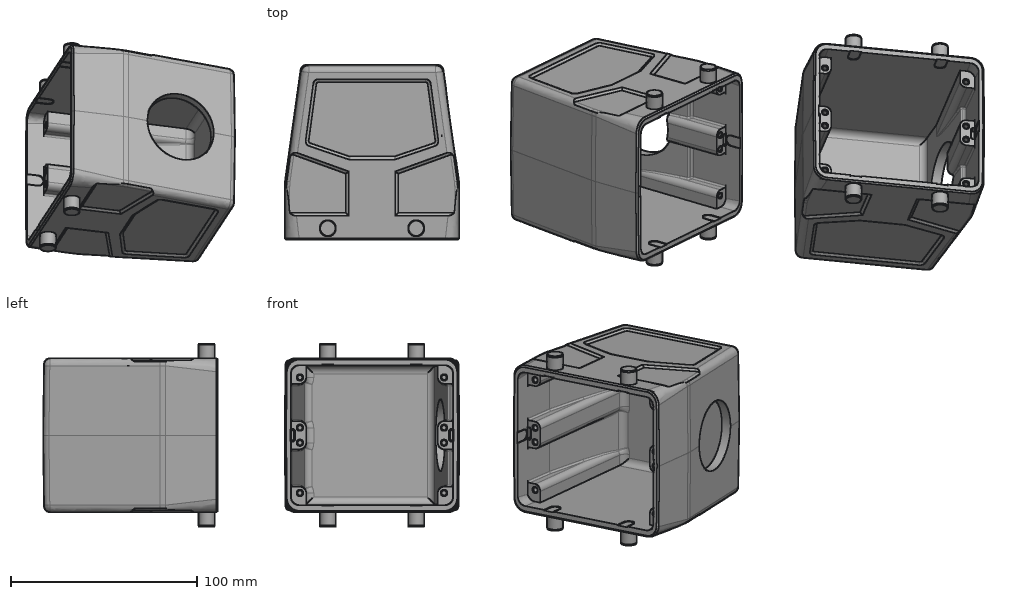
import cadquery as cq
import math

SIZE = 94.0
HEIGHT = 82.8
PIN_SPAN = 98.5
Y_FRONT = -SIZE / 2
Y_BACK = SIZE / 2
HALF_X = SIZE / 2
HALF_Z = HEIGHT / 2

BACK_HALF_X = 38.0
BEND_Y = -17.1
BEND_WIDTH = 2.9
DRAFT = 0.5
EDGE_RADIUS = 4.0
BACK_RADIUS = 3.5
RIM_CORNER_RADIUS = 7.4
RIM_CHAMFER = 0.9

CAVITY_HALF_X = 43.6
CAVITY_HALF_Z = 37.6
CAVITY_BEND_X = 43.1
CAVITY_BACK_HALF_X = 35.9
CAVITY_BACK_HALF_Z = 37.0
CAVITY_BACK_Y = 43.0
CAVITY_CORNER_RADIUS = 4.6
FLOOR_RADIUS = 3.9

PAD_Y = -14.8
PAD_FRONT_X = 40.5
PAD_BACK_X = 33.1
PAD_EDGE = 1.1
ENTRY_DIAMETER = 38.5
ENTRY_Y = 14.6

PIN_X = 23.7
PIN_Y = -40.9
PIN_DIAMETER = 8.8
PIN_TIP_DIAMETER = 8.2
PIN_TIP_HEIGHT = 0.8

BOSS_FRONT_Y = -37.7
BOSS_X = 35.4
CORNER_BOSS_Z = 27.6
MIDDLE_BOSS_HALF_Z = 7.6
BOSS_RADIUS = 3.4
BOSS_ROOT_RADIUS = 1.0
SCREW_X = 38.7
SCREW_ZS = (-31.0, -4.0, 4.0, 31.0)
SCREW_DIAMETER = 2.7
SCREW_MOUTH_DIAMETER = 3.5
SCREW_DEPTH = 14.8
NOTCH_WIDTH = 6.9
NOTCH_X = 41.3
NOTCH_DEPTH = 3.0
NOTCH_CHAMFER = 1.0
NOTCH_TAPER = 15.0

SLOT_WIDTH = 6.0
SLOT_DEPTH = 0.4

PANEL_DEPTH = 1.1
PANEL_WALL = 1.7
PANEL_INNER_X = 12.4
LABEL_BACK_Y = 39.3
LABEL_BACK_X = 31.2
LABEL_SIDE_X = 36.0
LABEL_SIDE_Y = 4.0
LABEL_FRONT_Y = -3.9
LABEL_RADIUS = 3.0
GRIP_BACK_Y = -10.3
GRIP_FRONT_Y = -34.2
GRIP_SLOPE = 0.36
GRIP_DEPTH = 2.1
GRIP_EDGE_RADIUS = 1.9
GRIP_SIDE_INSET = 0.3


def section(y, half_x, half_z, draft, radius):
    """Rounded cross-section at y, widest at mid height."""
    points = [
        (half_x, 0),
        (half_x - draft, half_z),
        (draft - half_x, half_z),
        (-half_x, 0),
        (draft - half_x, -half_z),
        (half_x - draft, -half_z),
    ]
    wire = cq.Workplane("XZ", origin=(0, y, 0)).polyline(points).close().val()
    corners = [v for v in wire.Vertices() if abs(v.Z) > half_z / 2]
    return wire.fillet2D(radius, corners)


def tapered_body(inset, half_z, radius, rim_radius):
    """Solid with straight front sides, a narrow bend strip and tapered rear sides."""
    taper = (HALF_X - BACK_HALF_X) / (Y_BACK - BEND_Y)
    strip_front = BEND_Y - BEND_WIDTH / 2
    strip_back = BEND_Y + BEND_WIDTH / 2
    stations = [
        (Y_FRONT, HALF_X, rim_radius),
        (strip_front, HALF_X, radius),
        (strip_back, HALF_X - taper * BEND_WIDTH / 2, radius),
        (Y_BACK, BACK_HALF_X, radius),
    ]
    wires = [section(y, half_x - inset, half_z, DRAFT, r) for y, half_x, r in stations]
    return cq.Workplane(cq.Solid.makeLoft(wires, True))


def outer_shell():
    side_profile = [
        (Y_FRONT, -HALF_Z),
        (Y_BACK - DRAFT, -HALF_Z),
        (Y_BACK, 0),
        (Y_BACK - DRAFT, HALF_Z),
        (Y_FRONT, HALF_Z),
    ]
    envelope = cq.Workplane("YZ").polyline(side_profile).close().extrude(HALF_X, both=True)
    body = tapered_body(0, HALF_Z, EDGE_RADIUS, RIM_CORNER_RADIUS).intersect(envelope)
    body = body.faces("<Y").chamfer(RIM_CHAMFER)
    margin = 1.0
    upper_back = cq.selectors.BoxSelector(
        (-HALF_X, Y_BACK - margin, margin), (HALF_X, Y_BACK + margin, HALF_Z + margin))
    lower_back = cq.selectors.BoxSelector(
        (-HALF_X, Y_BACK - margin, -HALF_Z - margin), (HALF_X, Y_BACK + margin, -margin))
    return body.edges(upper_back + lower_back).fillet(BACK_RADIUS)


def bosses():
    """Screw bosses running back from behind the rim along both side walls."""
    length = CAVITY_BACK_Y - BOSS_FRONT_Y + 1
    width = HALF_X - BOSS_X
    solid = cq.Workplane()
    spans = [
        (CORNER_BOSS_Z, HALF_Z),
        (-MIDDLE_BOSS_HALF_Z, MIDDLE_BOSS_HALF_Z),
        (-HALF_Z, -CORNER_BOSS_Z),
    ]
    for side in (-1, 1):
        for low, high in spans:
            boss = cq.Workplane().box(width, length, high - low).translate(
                (side * (BOSS_X + width / 2), BOSS_FRONT_Y + length / 2, (low + high) / 2))
            rounded = boss.edges("|Y").edges("<X" if side > 0 else ">X")
            if low > 0:
                rounded = rounded.edges("<Z")
            elif high < 0:
                rounded = rounded.edges(">Z")
            solid = solid.add(rounded.fillet(BOSS_RADIUS))
    return solid.combine()


def boss_roots():
    """Selector for the inner corners where the boss flanks meet the side walls."""
    thin = 0.1
    roots = None
    for flank in (-CORNER_BOSS_Z, -MIDDLE_BOSS_HALF_Z, MIDDLE_BOSS_HALF_Z, CORNER_BOSS_Z):
        for side in (-1, 1):
            box = cq.selectors.BoxSelector(
                (side * (BOSS_X + BOSS_RADIUS), BOSS_FRONT_Y + thin, flank - thin),
                (side * HALF_X, ENTRY_Y, flank + thin))
            roots = box if roots is None else roots + box
    return roots


def cavity():
    outline = [
        (-CAVITY_HALF_X, Y_FRONT),
        (CAVITY_HALF_X, Y_FRONT),
        (CAVITY_BEND_X, PAD_Y),
        (PAD_FRONT_X, PAD_Y),
        (PAD_BACK_X, CAVITY_BACK_Y),
        (-CAVITY_BACK_HALF_X, CAVITY_BACK_Y),
        (-CAVITY_BEND_X, BEND_Y),
    ]
    plan = cq.Workplane("XY").polyline(outline).close().extrude(HALF_Z, both=True)
    plan = plan.edges(cq.selectors.BoxSelector(
        (PAD_FRONT_X - 1, PAD_Y - 1, -1), (CAVITY_BEND_X + 1, PAD_Y + 1, 1))).fillet(PAD_EDGE)
    wires = [
        section(Y_FRONT, CAVITY_HALF_X, CAVITY_HALF_Z, 0, CAVITY_CORNER_RADIUS),
        section(CAVITY_BACK_Y, CAVITY_HALF_X, CAVITY_BACK_HALF_Z, 0, CAVITY_CORNER_RADIUS),
    ]
    space = plan.intersect(cq.Workplane(cq.Solid.makeLoft(wires, True)))
    space = space.cut(bosses())
    space = space.faces(">Y").edges().fillet(FLOOR_RADIUS)
    return space.edges(boss_roots()).fillet(BOSS_ROOT_RADIUS)


def screw_holes():
    mouth = (SCREW_MOUTH_DIAMETER - SCREW_DIAMETER) / 2
    spots = [(side * SCREW_X, z) for side in (-1, 1) for z in SCREW_ZS]
    front = cq.Workplane("XZ", origin=(0, BOSS_FRONT_Y, 0)).pushPoints(spots)
    holes = front.circle(SCREW_DIAMETER / 2).extrude(-SCREW_DEPTH)
    cones = front.circle(SCREW_MOUTH_DIAMETER / 2).extrude(-mouth, taper=45)
    return holes.union(cones)


def boss_notches():
    """Chamfered notch between the screws of each middle boss, against the side wall."""
    outline = cq.Sketch().rect(2 * (CAVITY_HALF_X - NOTCH_X), NOTCH_WIDTH).vertices().chamfer(NOTCH_CHAMFER)
    front = cq.Workplane("XZ", origin=(0, BOSS_FRONT_Y, 0))
    left = front.center(-CAVITY_HALF_X, 0).placeSketch(outline).extrude(-NOTCH_DEPTH, taper=NOTCH_TAPER)
    between_walls = cq.Workplane().box(2 * CAVITY_HALF_X, SIZE, HEIGHT)
    return left.union(left.mirror("YZ")).intersect(between_walls)


def rim_slots():
    """Round-ended shallow slots open at the rim: by each pin and on each side wall."""
    length = PIN_Y - Y_FRONT
    reach_z = CAVITY_HALF_Z + SLOT_DEPTH
    reach_x = CAVITY_HALF_X + SLOT_DEPTH

    def slot(reach):
        plate = cq.Workplane().rect(SLOT_WIDTH, 2 * length).extrude(reach, both=True)
        tip = cq.Workplane().center(0, length).circle(SLOT_WIDTH / 2).extrude(reach, both=True)
        return plate.union(tip).translate((0, Y_FRONT, 0))

    upright = slot(reach_z)
    sideways = slot(reach_x).rotate((0, 0, 0), (0, 1, 0), 90)
    slots = upright.translate((-PIN_X, 0, 0)).union(upright.translate((PIN_X, 0, 0))).union(sideways)
    ahead_of_bosses = cq.Workplane().box(SIZE, BOSS_FRONT_Y - Y_FRONT, HEIGHT).translate(
        (0, (BOSS_FRONT_Y + Y_FRONT) / 2, 0))
    return slots.intersect(ahead_of_bosses)


def sunk_prism(points, depth, radius=0):
    """Prism sunk from the top face with walls sloping inward as it goes down."""
    angle = math.degrees(math.atan(PANEL_WALL / PANEL_DEPTH))
    top = cq.Workplane("XY", origin=(0, 0, HALF_Z))
    outline = cq.Sketch().polygon(points + points[:1])
    if radius:
        outline = outline.vertices().fillet(radius)
    return top.placeSketch(outline).extrude(-depth, taper=angle)


def panels():
    """Label panel and two grip panels, on the top face and mirrored to the bottom."""
    label = [
        (LABEL_BACK_X, LABEL_BACK_Y),
        (LABEL_SIDE_X, LABEL_SIDE_Y),
        (PANEL_INNER_X, LABEL_FRONT_Y),
        (-PANEL_INNER_X, LABEL_FRONT_Y),
        (-LABEL_SIDE_X, LABEL_SIDE_Y),
        (-LABEL_BACK_X, LABEL_BACK_Y),
    ]
    outside_x = HALF_X + 9.85
    grip = [
        (PANEL_INNER_X, GRIP_FRONT_Y),
        (PANEL_INNER_X, GRIP_BACK_Y),
        (outside_x, GRIP_BACK_Y + GRIP_SLOPE * (outside_x - PANEL_INNER_X)),
        (outside_x, GRIP_FRONT_Y),
    ]
    core = tapered_body(GRIP_SIDE_INSET, HALF_Z - PANEL_DEPTH, GRIP_EDGE_RADIUS, GRIP_EDGE_RADIUS)
    grip_cut = sunk_prism(grip, GRIP_DEPTH).cut(core)
    top = sunk_prism(label, PANEL_DEPTH, LABEL_RADIUS).union(grip_cut).union(grip_cut.mirror("YZ"))
    return top.union(top.mirror("XY"))


def pins():
    """Locking pins with slightly conical tips, two on top and two below."""
    solids = cq.Workplane()
    shank = PIN_SPAN / 2 - HALF_Z - PIN_TIP_HEIGHT
    root = (HALF_Z + CAVITY_HALF_Z) / 2
    for x in (-PIN_X, PIN_X):
        pin = cq.Workplane("XY", origin=(x, PIN_Y, root)).circle(PIN_DIAMETER / 2)
        pin = pin.extrude(HALF_Z + shank - root)
        tip = cq.Solid.makeCone(PIN_DIAMETER / 2, PIN_TIP_DIAMETER / 2, PIN_TIP_HEIGHT,
                                cq.Vector(x, PIN_Y, HALF_Z + shank))
        pin = pin.union(cq.Workplane(tip))
        solids = solids.add(pin).add(pin.mirror("XY"))
    return solids.combine()


cable_entry = cq.Workplane("YZ").center(ENTRY_Y, 0).circle(ENTRY_DIAMETER / 2).extrude(HALF_X)

result = outer_shell().cut(panels()).cut(cavity()).cut(rim_slots())
result = result.cut(boss_notches()).cut(screw_holes()).cut(cable_entry).union(pins())